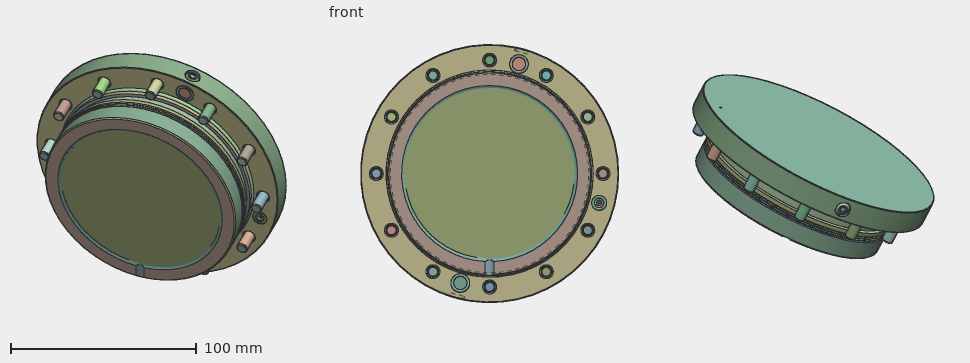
import cadquery as cq
import math


flange_radius = 69.5
flange_thickness = 13.0
flange_chamfer = 0.4

total_depth = 39.0
barrel_radius = 110.0 / 2
barrel_chamfer = 0.7
neck_radius = 106.9 / 2
neck_start = 17.4
neck_end = 22.0
neck_ramp = 0.5
neck_start_ramp = 0.4

groove_depth = 0.4
groove_pitch = 1.3
groove_count = 3
first_groove_start = 24.7

recess_floor_radius = 45.7
recess_rim_radius = 47.4
recess_depth = 0.8
channel_depth = 0.76
channel_radius = 8.0 / 2

foot_ring_radius = 55.7
foot_ring_width = 2.0
foot_ring_tube = 1.7

screw_count = 12
pitch_radius = 61.0
screw_radius = 6.0 / 2
screw_root_depth = flange_thickness / 2
screw_end_depth = 24.0
screw_chamfer = 0.5
screw_seat_radius = 3.8

ring_angles = (75, 255)
ring_radius = 4.3
ring_tube = 0.76
ring_protrusion = 0.1
ring_groove_depth = 0.4

port_angle = -15
port_ring_radius = 3.27
port_mouth_radius = 3.0 / 2
port_mouth_depth = 1.0
port_bore_radius = 1.0 / 2

plug_depth_from_back = 6.8
counterbore_radius = 4.2
counterbore_depth = 2.1
plug_base_radius = 8.0 / 2
plug_top_radius = 4.9 / 2
plug_height = 2.1
socket_radius = 3.0 / 2
socket_depth = 0.5

face_outward = cq.Vector(0, -1, 0)
face_inward = cq.Vector(0, 1, 0)


def polar(radius, angle, depth):
    """Point at a radius and angle about the part axis, at a depth below the back face."""
    turn = math.radians(angle)
    return cq.Vector(radius * math.cos(turn), -depth, radius * math.sin(turn))


def make_body():
    foot_ring_end = flange_thickness + foot_ring_width
    nose_edge = total_depth - barrel_chamfer
    recess_floor = total_depth - recess_depth

    wall_width = recess_rim_radius - recess_floor_radius
    wall_arc_radius = (wall_width ** 2 + recess_depth ** 2) / (2 * recess_depth)

    outline = (
        cq.Workplane("XY")
        .lineTo(flange_radius - flange_chamfer, 0)
        .lineTo(flange_radius, -flange_chamfer)
        .lineTo(flange_radius, -flange_thickness + flange_chamfer)
        .lineTo(flange_radius - flange_chamfer, -flange_thickness)
        .lineTo(foot_ring_radius, -flange_thickness)
        .radiusArc((barrel_radius, -foot_ring_end), foot_ring_tube)
        .lineTo(barrel_radius, -neck_start)
        .lineTo(neck_radius, -neck_start - neck_start_ramp)
        .lineTo(neck_radius, -neck_end)
        .lineTo(barrel_radius, -neck_end - neck_ramp)
        .lineTo(barrel_radius, -first_groove_start)
    )
    for i in range(groove_count):
        start = first_groove_start + i * groove_pitch
        outline = (
            outline
            .lineTo(barrel_radius - groove_depth, -start - groove_pitch / 2)
            .lineTo(barrel_radius, -start - groove_pitch)
        )
    outline = (
        outline
        .lineTo(barrel_radius, -nose_edge)
        .lineTo(barrel_radius - barrel_chamfer, -total_depth)
        .lineTo(recess_rim_radius, -total_depth)
        .radiusArc((recess_floor_radius, -recess_floor), -wall_arc_radius)
        .lineTo(0, -recess_floor)
        .close()
    )
    return outline.revolve(360, (0, 0), (0, 1))


def make_vent_channel():
    axis_depth = total_depth - channel_depth + channel_radius
    return cq.Workplane(obj=cq.Solid.makeCylinder(
        channel_radius, barrel_radius, cq.Vector(0, -axis_depth, 0), cq.Vector(0, 0, -1)))


def make_screw(angle):
    profile = [
        (0, -screw_root_depth),
        (screw_radius, -screw_root_depth),
        (screw_radius, -screw_end_depth + screw_chamfer),
        (screw_radius - screw_chamfer, -screw_end_depth),
        (0, -screw_end_depth),
    ]
    screw = cq.Workplane("XY").polyline(profile).close().revolve(360, (0, 0), (0, 1))
    return screw.translate(polar(pitch_radius, angle, 0))


def make_screw_seat(angle):
    seat_depth = screw_seat_radius - screw_radius
    return cq.Workplane(obj=cq.Solid.makeCone(
        screw_seat_radius, screw_radius, seat_depth,
        polar(pitch_radius, angle, flange_thickness), face_inward))


def add_seal_ring(body, center, ring):
    """Cut a round groove into the flange face at center and lay a seal ring in it."""
    floor = center + face_inward * ring_groove_depth
    outer = cq.Solid.makeCylinder(ring + ring_tube, 2 * ring_groove_depth, floor, face_outward)
    inner = cq.Solid.makeCylinder(ring - ring_tube, 2 * ring_groove_depth, floor, face_outward)
    seal_center = center + face_inward * (ring_tube - ring_protrusion)
    seal = cq.Solid.makeTorus(ring, ring_tube, seal_center, face_outward)
    return body.cut(cq.Workplane(obj=outer.cut(inner))).union(cq.Workplane(obj=seal))


def add_air_port(body):
    """Countersunk through bore surrounded by a seal ring."""
    center = polar(pitch_radius, port_angle, flange_thickness)
    mouth = cq.Solid.makeCone(
        port_mouth_radius, port_bore_radius, port_mouth_depth, center, face_inward)
    bore = cq.Solid.makeCylinder(port_bore_radius, flange_thickness, center, face_inward)
    body = add_seal_ring(body, center, port_ring_radius)
    return body.cut(cq.Workplane(obj=mouth)).cut(cq.Workplane(obj=bore))


def add_rim_plug(body, angle):
    """Counterbore in the rim, filled by a tapered plug head with a round socket."""
    outward = polar(1, angle, 0)
    floor = polar(flange_radius - counterbore_depth, angle, plug_depth_from_back)
    top = floor + outward * plug_height
    counterbore = cq.Solid.makeCylinder(counterbore_radius, 2 * counterbore_depth, floor, outward)
    head = cq.Solid.makeCone(plug_base_radius, plug_top_radius, plug_height, floor, outward)
    socket = cq.Solid.makeCylinder(socket_radius, socket_depth, top, outward * -1)
    body = body.cut(cq.Workplane(obj=counterbore)).union(cq.Workplane(obj=head))
    return body.cut(cq.Workplane(obj=socket))


result = make_body().cut(make_vent_channel())

for i in range(screw_count):
    screw_angle = i * 360 / screw_count
    result = result.cut(make_screw_seat(screw_angle)).union(make_screw(screw_angle))

for ring_angle in ring_angles:
    result = add_seal_ring(result, polar(pitch_radius, ring_angle, flange_thickness), ring_radius)
    result = add_rim_plug(result, ring_angle)

result = add_air_port(result)